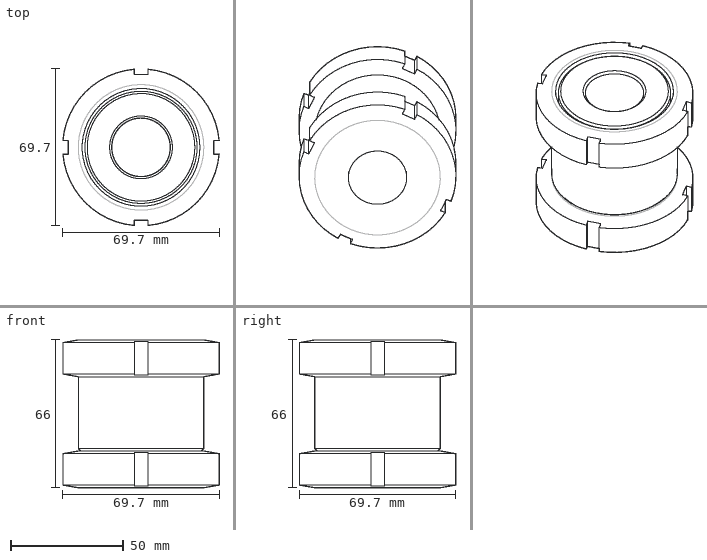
import cadquery as cq
import math

total_height = 66.0
collar_radius = 35.0
collar_height = 16.5
collar_flat_radius = 28.0
collar_slope_angle = 10.0
collar_slope_drop = (collar_radius - collar_flat_radius) * math.tan(math.radians(collar_slope_angle))

slot_count = 4
slot_width = 6.0
slot_floor_radius = 32.5

skirt_radius = collar_flat_radius
skirt_chamfer = 1.0
sleeve_bore_radius = 26.25

stud_radius = 25.0
stud_top = total_height
stud_chamfer = 1.0
base_bore_radius = 13.0
base_bore_chamfer = 1.0


def make_collar(bottom):
    """Solid disc whose two faces slope back towards the rim, with spanner slots."""
    top = bottom + collar_height
    collar = (
        cq.Workplane("XZ")
        .moveTo(0, bottom)
        .lineTo(collar_flat_radius, bottom)
        .lineTo(collar_radius, bottom + collar_slope_drop)
        .lineTo(collar_radius, top - collar_slope_drop)
        .lineTo(collar_flat_radius, top)
        .lineTo(0, top)
        .close()
        .revolve(360, (0, 0, 0), (0, 1, 0))
    )
    slot_length = collar_radius
    slots = (
        cq.Workplane("XY")
        .workplane(offset=bottom)
        .polarArray(slot_floor_radius + slot_length / 2, 0, 360, slot_count)
        .rect(slot_length, slot_width)
        .extrude(collar_height)
    )
    return collar.cut(slots)


def make_sleeve():
    """Upper collar and skirt with a plain through bore."""
    skirt = (
        cq.Workplane("XY")
        .workplane(offset=collar_height)
        .circle(skirt_radius)
        .extrude(total_height - collar_height)
        .faces("<Z")
        .chamfer(skirt_chamfer)
    )
    bore = (
        cq.Workplane("XY")
        .workplane(offset=collar_height)
        .circle(sleeve_bore_radius)
        .extrude(total_height - collar_height)
    )
    return make_collar(total_height - collar_height).union(skirt).cut(bore)


def make_base():
    """Lower collar and stud, bored through along the axis."""
    stud = (
        cq.Workplane("XY")
        .circle(stud_radius)
        .extrude(stud_top)
        .faces(">Z")
        .chamfer(stud_chamfer)
    )
    bore = (
        cq.Workplane("XY")
        .circle(base_bore_radius)
        .extrude(stud_top)
    )
    countersink = (
        cq.Workplane("XY")
        .workplane(offset=stud_top)
        .circle(base_bore_radius + base_bore_chamfer)
        .workplane(offset=-base_bore_chamfer)
        .circle(base_bore_radius)
        .loft()
    )
    return make_collar(0).union(stud).cut(bore).cut(countersink)


sleeve = make_sleeve()
base = make_base()
result = cq.Compound.makeCompound([sleeve.val(), base.val()])